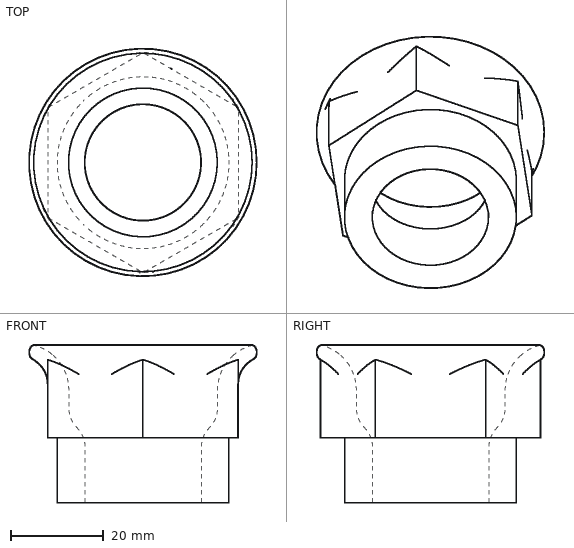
import cadquery as cq
import math

total_height = 34.0

spigot_diameter = 37.0
spigot_height = 14.0
hex_across_flats = 41.0

lip_diameter = 49.0
lip_round_radius = 1.5
lip_band_height = 0.4
mouth_diameter = 47.0

flare_radius = 6.0

bore_diameter = 25.0
bore_length = 12.0
seat_diameter = 32.0
step_curve_radius = 6.0
mouth_curve_radius = 10.0

lip_radius = lip_diameter / 2
mouth_radius = mouth_diameter / 2
flat_radius = hex_across_flats / 2
lip_center_r = lip_radius - lip_round_radius
upper_round_z = total_height - math.sqrt(lip_round_radius**2 - (mouth_radius - lip_center_r)**2)
lower_round_z = upper_round_z - lip_band_height

flare_center_r = flat_radius + flare_radius
center_distance = flare_radius + lip_round_radius
flare_start_z = lower_round_z - math.sqrt(center_distance**2 - (flare_center_r - lip_center_r)**2)


def arc_point(center_r, center_z, radius, angle):
    """Point on a circle of the (r, z) half plane, with the angle in radians from +r."""
    return center_r + radius * math.cos(angle), center_z + radius * math.sin(angle)


def revolve_profile(profile):
    """Turn a closed (r, z) profile a full turn about the Z axis."""
    return profile.close().revolve(360, (0, 0, 0), (0, 1, 0))


def make_spigot():
    return cq.Workplane("XY").circle(spigot_diameter / 2).extrude(spigot_height)


def make_hexagon():
    """Hexagon with flats facing +X and -X; its top is buried inside the lip."""
    across_corners = hex_across_flats / math.cos(math.pi / 6)
    return (
        cq.Workplane("XY")
        .workplane(offset=spigot_height)
        .polygon(6, across_corners)
        .extrude(lower_round_z - spigot_height)
        .rotate((0, 0, 0), (0, 0, 1), 90)
    )


def make_flared_lip():
    """Solid head: concave flare, lower lip round, band and upper lip round."""
    tangent_angle = math.atan2(flare_start_z - lower_round_z, flare_center_r - lip_center_r)
    upper_angle = math.acos((mouth_radius - lip_center_r) / lip_round_radius)
    flare_mid_angle = math.pi + tangent_angle / 2

    flare_mid = arc_point(flare_center_r, flare_start_z, flare_radius, flare_mid_angle)
    flare_end = arc_point(lip_center_r, lower_round_z, lip_round_radius, tangent_angle)
    lower_mid = arc_point(lip_center_r, lower_round_z, lip_round_radius, tangent_angle / 2)
    upper_mid = arc_point(lip_center_r, upper_round_z, lip_round_radius, upper_angle / 2)
    profile = (
        cq.Workplane("XZ")
        .moveTo(0, flare_start_z)
        .lineTo(flat_radius, flare_start_z)
        .threePointArc(flare_mid, flare_end)
        .threePointArc(lower_mid, (lip_radius, lower_round_z))
        .lineTo(lip_radius, upper_round_z)
        .threePointArc(upper_mid, (mouth_radius, total_height))
        .lineTo(0, total_height)
    )
    return revolve_profile(profile)


def make_bore():
    """Through passage, from the straight bore up to the trumpet mouth."""
    bore_radius = bore_diameter / 2
    seat_radius = seat_diameter / 2

    step_mid_r = (bore_radius + seat_radius) / 2
    arc_width = step_mid_r - bore_radius
    arc_angle = math.acos(1 - arc_width / step_curve_radius)
    arc_height = step_curve_radius * math.sin(arc_angle)
    step_mid_z = bore_length + arc_height
    step_top_z = step_mid_z + arc_height
    convex_mid = arc_point(
        bore_radius + step_curve_radius, bore_length, step_curve_radius, math.pi - arc_angle / 2
    )
    concave_mid = arc_point(
        seat_radius - step_curve_radius, step_top_z, step_curve_radius, -arc_angle / 2
    )

    mouth_angle = math.acos(1 - (mouth_radius - seat_radius) / mouth_curve_radius)
    seat_top_z = total_height - mouth_curve_radius * math.sin(mouth_angle)
    mouth_mid = arc_point(
        seat_radius + mouth_curve_radius, seat_top_z, mouth_curve_radius, math.pi - mouth_angle / 2
    )
    profile = (
        cq.Workplane("XZ")
        .moveTo(0, 0)
        .lineTo(bore_radius, 0)
        .lineTo(bore_radius, bore_length)
        .threePointArc(convex_mid, (step_mid_r, step_mid_z))
        .threePointArc(concave_mid, (seat_radius, step_top_z))
        .lineTo(seat_radius, seat_top_z)
        .threePointArc(mouth_mid, (mouth_radius, total_height))
        .lineTo(0, total_height)
    )
    return revolve_profile(profile)


result = make_spigot().union(make_hexagon()).union(make_flared_lip()).cut(make_bore())